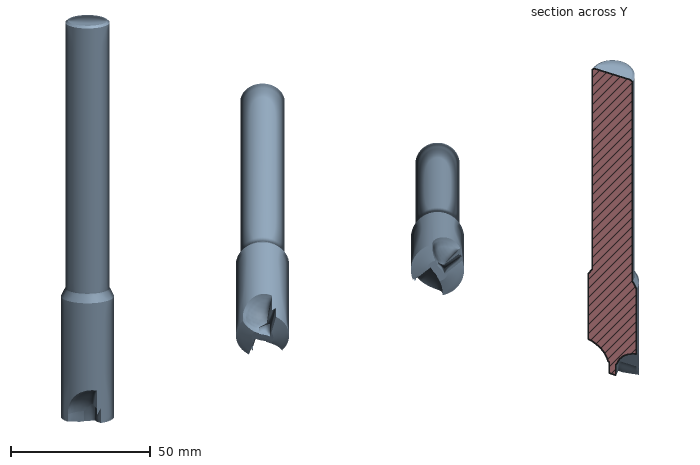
import cadquery as cq
import math

total_length = 148.9
head_diameter = 19.0
shank_diameter = 16.0
shoulder_start = 46.2
shoulder_height = 3.1
shank_chamfer_width = 0.9
shank_chamfer_height = 0.7
tip_height = 1.2
tip_flat_radius = 3.9

flute_count = 2
flute_radius = 10.1
flute_axis_x = 11.6
flute_axis_y = -1.5
flute_ball_height = 3.9
flute_wall = 1.0

pocket_front = -1.6
pocket_ridge = 0.7
pocket_back = 2.5
pocket_floor = 1.2
pocket_ridge_floor = 1.3
seat_height = 6.5
seat_slope = 45.0

lip_inner_face = 9.0
lip_height = 4.5
lip_slope = 58.0

head_radius = head_diameter / 2
shank_radius = shank_diameter / 2
cut_reach = head_diameter


def turned_body():
    profile = [
        (0, 0),
        (tip_flat_radius, 0),
        (head_radius, tip_height),
        (head_radius, shoulder_start),
        (shank_radius, shoulder_start + shoulder_height),
        (shank_radius, total_length - shank_chamfer_height),
        (shank_radius - shank_chamfer_width, total_length),
        (0, total_length),
    ]
    return cq.Workplane("XZ").polyline(profile).close().revolve(360, (0, 0), (0, 1))


def flute():
    """Upright cylinder with a ball end on top, ended by a flat wall facing -Y."""
    axis = (flute_axis_x, flute_axis_y)
    cutter = cq.Workplane("XY").center(*axis).circle(flute_radius).extrude(flute_ball_height)
    ball = cq.Workplane("XY", origin=(*axis, flute_ball_height)).sphere(flute_radius)
    front_space = (
        cq.Workplane("XY", origin=(0, flute_wall, 0))
        .box(cut_reach, cut_reach, cut_reach, centered=(False, False, False))
        .translate((0, -cut_reach, 0))
    )
    return cutter.union(ball).intersect(front_space)


def space_below(height_at_wall, slope):
    """Space under a plane that rises towards +Y and has the given height at the flute wall."""
    steepness = math.tan(math.radians(slope))
    outline = [
        (pocket_front, 0),
        (pocket_back, 0),
        (pocket_back, height_at_wall + (pocket_back - flute_wall) * steepness),
        (pocket_front, height_at_wall + (pocket_front - flute_wall) * steepness),
    ]
    return cq.Workplane("YZ").polyline(outline).close().extrude(cut_reach)


def seat_pocket():
    """Pocket with a shallow ridge along its floor and a lower seat at the lip."""
    plan = [
        (pocket_floor, pocket_front),
        (pocket_ridge_floor, pocket_ridge),
        (pocket_floor, pocket_back),
        (lip_inner_face, pocket_back),
        (lip_inner_face, pocket_front),
    ]
    inner = cq.Workplane("XY").polyline(plan).close().extrude(cut_reach)
    outer = (
        cq.Workplane("XY", origin=(lip_inner_face, pocket_front, 0))
        .box(cut_reach, pocket_back - pocket_front, cut_reach, centered=(False, False, False))
    )
    inner = inner.intersect(space_below(seat_height, seat_slope))
    outer = outer.intersect(space_below(lip_height, lip_slope))
    return inner.union(outer)


body = turned_body()
cutout = flute().union(seat_pocket())

result = body
for index in range(flute_count):
    result = result.cut(cutout.rotate((0, 0, 0), (0, 0, 1), index * 360 / flute_count))